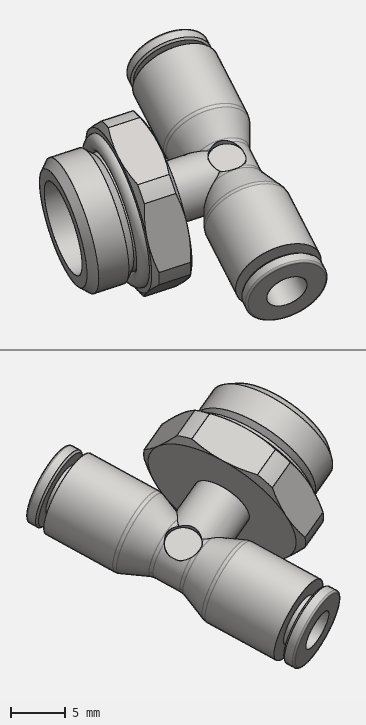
import cadquery as cq
import math

run_half_length = 14.5
passage_radius = 2.0
collar_radius = 4.05
collar_width = 1.25
collar_edge = 0.2
collar_neck_radius = 2.6
body_half_length = 12.45
body_radius = 4.25
shoulder_x = 4.8
waist_x = 1.65
waist_radius = 2.95
taper_blend_radius = 1.0

spot_radius = 1.75
spot_height = 2.4

stem_radius = waist_radius
hex_back = 6.75
hex_thickness = 4.0
hex_sides = 6
hex_across_flats = 16.0
hex_corner_radius = 8.75
hex_chamfer_angle = 30.0
stem_length = 16.25
seal_radius = 7.45
seal_section_radius = 0.85
thread_radius = 6.58
thread_chamfer = 0.83
bore_radius = 4.58
bore_floor = 1.5

hex_front = hex_back + hex_thickness
seal_front = hex_front + seal_section_radius
neck_radius = seal_radius - 2 * seal_section_radius


def half_run():
    """+X half of the run as a solid of revolution about X, without its passage."""
    collar_inner_x = run_half_length - collar_width
    half = (
        cq.Workplane("XY")
        .moveTo(0, 0)
        .lineTo(0, waist_radius)
        .lineTo(waist_x, waist_radius)
        .lineTo(shoulder_x, body_radius)
        .lineTo(body_half_length, body_radius)
        .lineTo(body_half_length, collar_neck_radius)
        .lineTo(collar_inner_x, collar_neck_radius)
        .lineTo(collar_inner_x, collar_radius - collar_edge)
        .lineTo(collar_inner_x + collar_edge, collar_radius)
        .lineTo(run_half_length, collar_radius)
        .lineTo(run_half_length, 0)
        .close()
        .revolve(360, (0, 0, 0), (1, 0, 0))
    )
    half = half.faces(">X").edges().fillet(collar_edge)
    for corner_x in (waist_x, shoulder_x):
        corner = cq.selectors.BoxSelector(
            (corner_x - collar_edge, -body_half_length, -body_half_length),
            (corner_x + collar_edge, body_half_length, body_half_length),
            boundingbox=True,
        )
        half = half.edges(corner).fillet(taper_blend_radius)
    return half


def run():
    """Both halves of the run, mirrored about the stem's centre plane."""
    half = half_run()
    return half.union(half.mirror("YZ"))


def stem_cylinder(radius, start, end):
    """Cylinder about the stem axis between two distances from the run axis."""
    return cq.Workplane("XZ", origin=(0, -start, 0)).circle(radius).extrude(end - start)


def hexagon():
    """Hexagon with flats at +Z and -Z, rounded corners and both faces chamfered."""
    flat_radius = hex_across_flats / 2
    across_corners = hex_across_flats / math.cos(math.pi / hex_sides)
    prism = (
        cq.Workplane("XZ", origin=(0, -hex_back, 0))
        .polygon(hex_sides, across_corners)
        .extrude(hex_thickness)
    )
    chamfer_run = hex_corner_radius - flat_radius
    chamfer_depth = chamfer_run * math.tan(math.radians(hex_chamfer_angle))
    envelope = (
        cq.Workplane("XY")
        .moveTo(0, -hex_back)
        .lineTo(flat_radius, -hex_back)
        .lineTo(hex_corner_radius, -hex_back - chamfer_depth)
        .lineTo(hex_corner_radius, -hex_front + chamfer_depth)
        .lineTo(flat_radius, -hex_front)
        .lineTo(0, -hex_front)
        .close()
        .revolve(360, (0, 0, 0), (0, 1, 0))
    )
    return prism.intersect(envelope)


def seal_ring():
    """Half-round sealing ring that bulges from the front of the hexagon, around the thread neck."""
    neck = stem_cylinder(neck_radius, hex_front, seal_front)
    half_round = (
        cq.Workplane("XY")
        .moveTo(neck_radius, -hex_front)
        .threePointArc((seal_radius - seal_section_radius, -seal_front), (seal_radius, -hex_front))
        .close()
        .revolve(360, (0, 0, 0), (0, 1, 0))
    )
    return neck.union(half_round)


def thread():
    """Plain cylinder at the thread's outer diameter, chamfered at both ends."""
    return stem_cylinder(thread_radius, seal_front, stem_length).edges().chamfer(thread_chamfer)


def passages():
    """Passage through the run, its branch into the stem, and the wide thread bore."""
    run_passage = (
        cq.Workplane("YZ", origin=(-run_half_length, 0, 0))
        .circle(passage_radius)
        .extrude(2 * run_half_length)
    )
    branch = stem_cylinder(passage_radius, 0, stem_length)
    bore = stem_cylinder(bore_radius, hex_back + bore_floor, stem_length)
    return run_passage.union(branch).union(bore)


def spot_recess():
    """Cutter that leaves a flat round recess on top of the waist."""
    return (
        cq.Workplane("XY", origin=(0, 0, spot_height))
        .circle(spot_radius)
        .extrude(body_radius - spot_height)
    )


stem = stem_cylinder(stem_radius, 0, hex_front)
result = run().union(stem).union(hexagon()).union(seal_ring()).union(thread())
result = result.cut(passages()).cut(spot_recess())